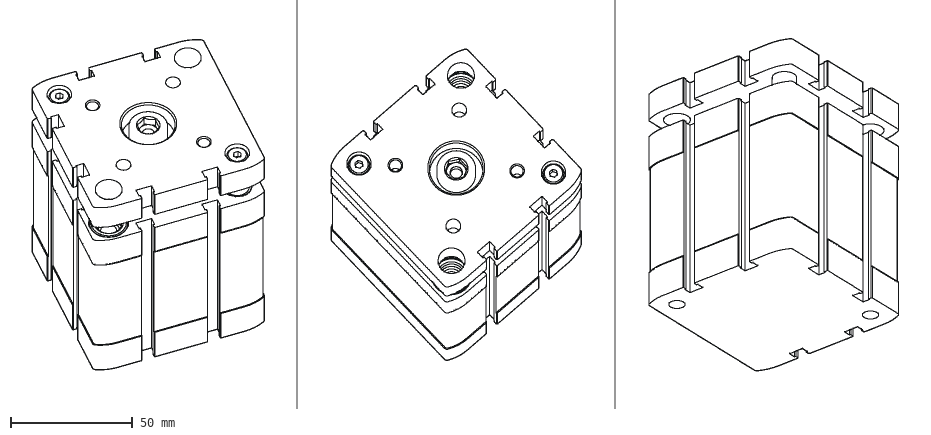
import cadquery as cq
import math

side = 75.5
half_side = side / 2
total_height = 99.0
plate_thickness = 12.0
plate_gap = 8.0
cap_height = 15.0
barrel_inset = 0.45
plate_bottom = total_height - plate_thickness
housing_height = plate_bottom - plate_gap
barrel_height = housing_height - 2 * cap_height

corner_radius = 20.0
corner_start = 28.0
corner_blend = 1.5

slot_offset = 14.5
slot_depth = 5.1
slot_width = 6.8
slot_mouth = 5.5
lip_thickness = 1.8
lip_chamfer = 0.3

corner_spacing = 56.5
corner_offset = corner_spacing / 2
guide_points = [(corner_offset, corner_offset), (-corner_offset, -corner_offset)]
mount_points = [(-corner_offset, corner_offset), (corner_offset, -corner_offset)]

plate_mount_diameter = 11.0
collar_recess_diameter = 16.4
collar_recess_depth = 3.0
collar_diameter = 15.5
collar_drop = 0.3
collar_chamfer = 0.5
head_recess_rim_diameter = 12.0
head_recess_diameter = 10.6
head_recess_depth = 4.0
mount_bore_chamfer_diameter = 8.5
mount_bore_diameter = 6.65

payload_circle_diameter = 50.0
payload_offset = payload_circle_diameter / 2 * math.cos(math.pi / 4)
payload_tap_points = [(payload_offset, payload_offset), (-payload_offset, -payload_offset)]
payload_pin_points = [(-payload_offset, payload_offset), (payload_offset, -payload_offset)]
payload_tap_diameter = 4.92
payload_pin_diameter = 6.0
center_recess_diameter = 22.0
center_recess_depth = 8.0
center_recess_chamfer = 0.7

rod_diameter = 16.0
top_recess = 1.0
rod_top = total_height - top_recess
rod_rounding = 0.8
rod_flats = 13.0
rod_flat_bottom = housing_height + 1.7
rod_flat_run_angle = 30.0
rod_insertion = 20.0
rod_hex = 8.0
rod_hex_depth = 4.0
rod_hex_chamfer_diameter = 9.7
rod_pilot_diameter = 5.0
rod_pilot_depth = 3.0
drill_tip_angle = 118.0

guide_diameter = 10.0
guide_recess_depth = 6.0
guide_screw_diameter = 8.5
guide_screw_top = total_height - top_recess
guide_screw_chamfer = 0.5
guide_hex = 3.0
guide_hex_depth = 3.0
guide_seat_diameter = 12.0
guide_seat_depth = 0.5


def cylinder(diameter, bottom, top, points=((0, 0),)):
    """Upright cylinders between two heights, one at each point."""
    base = cq.Workplane("XY").workplane(offset=bottom).pushPoints(points)
    return base.circle(diameter / 2).extrude(top - bottom)


def cone(large_diameter, small_diameter, bottom, height, points=((0, 0),)):
    """Upward-opening frustums, used as countersinks; one at each point."""
    solid = cq.Solid.makeCone(small_diameter / 2, large_diameter / 2, height)
    return cq.Workplane("XY").pushPoints(points).eachpoint(
        lambda place: solid.translate((0, 0, bottom)).moved(place), combine="a")


def block(inset, bottom, height):
    """Square prism with large-radius corners, drawn in by an inset on all sides."""
    half = half_side - inset
    radius = corner_radius - inset
    sweep = math.asin((half - corner_start) / radius)
    corner_x = half - radius * (1 - math.cos(sweep))
    mid_x = half - radius * (1 - math.cos(sweep / 2))
    mid_y = corner_start + radius * math.sin(sweep / 2)
    outline = (
        cq.Workplane("XY").workplane(offset=bottom)
        .moveTo(half, -corner_start)
        .lineTo(half, corner_start)
        .threePointArc((mid_x, mid_y), (corner_x, half))
        .lineTo(-corner_x, half)
        .threePointArc((-mid_x, mid_y), (-half, corner_start))
        .lineTo(-half, -corner_start)
        .threePointArc((-mid_x, -mid_y), (-corner_x, -half))
        .lineTo(corner_x, -half)
        .threePointArc((mid_x, -mid_y), (half, -corner_start))
        .close()
    )
    prism = outline.extrude(height)
    sharp_edges = prism.edges("|Z").edges(">Y or <Y")
    return sharp_edges.fillet(corner_blend)


def slots(bottom, top):
    """T-slots in the -Y, +X and -X sides, with chamfered mouths."""
    mouth = slot_mouth / 2
    profile = [
        (-mouth - lip_chamfer, -half_side),
        (-mouth, -half_side + lip_chamfer),
        (-mouth, -half_side + lip_thickness),
        (-slot_width / 2, -half_side + lip_thickness),
        (-slot_width / 2, -half_side + slot_depth),
    ]
    profile += [(-x, y) for x, y in reversed(profile)]
    slot = cq.Workplane("XY").workplane(offset=bottom).polyline(profile).close().extrude(top - bottom)
    pair = slot.translate((slot_offset, 0, 0)).union(slot.translate((-slot_offset, 0, 0)))
    tools = pair
    for turn in (90, -90):
        tools = tools.union(pair.rotate((0, 0, 0), (0, 0, 1), turn))
    return tools


def hex_socket(across_flats, bottom, top, points=((0, 0),), turn=0):
    """Hexagonal prisms, one at each point; flats face along Y when turn is 0, along X when it is 30."""
    corners = across_flats / math.cos(math.pi / 6)
    prism = cq.Workplane("XY").polygon(6, corners).extrude(top - bottom).rotate((0, 0, 0), (0, 0, 1), turn)
    base = cq.Workplane("XY").workplane(offset=bottom).pushPoints(points)
    return base.eachpoint(lambda place: prism.val().moved(place), combine="a")


def make_shafts():
    """Piston rod with wrench flats, and guide rods with screw heads, before their sockets are cut."""
    bottom = housing_height - rod_insertion
    rod = cylinder(rod_diameter, bottom, rod_top).faces(">Z").edges().fillet(rod_rounding)
    run_out = (rod_diameter - rod_flats) / 2 * math.tan(math.radians(rod_flat_run_angle))
    flat_cut = (
        cq.Workplane("YZ")
        .polyline([
            (rod_flats / 2, rod_flat_bottom),
            (rod_diameter / 2, rod_flat_bottom - run_out),
            (rod_diameter / 2, plate_bottom),
            (rod_flats / 2, plate_bottom),
        ])
        .close()
        .extrude(rod_diameter / 2, both=True)
    )
    rod = rod.cut(flat_cut).cut(flat_cut.mirror("XZ"))
    guides = cylinder(guide_diameter, bottom, total_height - guide_recess_depth, guide_points)
    screws = cylinder(guide_screw_diameter, plate_bottom, guide_screw_top, guide_points)
    guides = guides.union(screws.faces(">Z").chamfer(guide_screw_chamfer))
    return rod, guides


def make_moving_unit():
    """Plate joined with the piston rod and the two guide rods."""
    plate = block(0, plate_bottom, plate_thickness).cut(slots(plate_bottom, total_height))
    plate = plate.cut(cylinder(center_recess_diameter, total_height - center_recess_depth, total_height))
    plate = plate.cut(cone(center_recess_diameter + 2 * center_recess_chamfer, center_recess_diameter,
                           total_height - center_recess_chamfer, center_recess_chamfer))
    plate = plate.cut(cylinder(plate_mount_diameter, plate_bottom, total_height, mount_points))
    plate = plate.cut(cylinder(payload_pin_diameter, plate_bottom, total_height, payload_pin_points))
    plate = plate.cut(cylinder(payload_tap_diameter, plate_bottom, total_height, payload_tap_points))
    tap_chamfer = (payload_pin_diameter - payload_tap_diameter) / 2
    plate = plate.cut(cone(payload_pin_diameter, payload_tap_diameter, total_height - tap_chamfer,
                           tap_chamfer, payload_tap_points))
    plate = plate.cut(cylinder(guide_diameter, plate_bottom, total_height, guide_points))

    rod, guides = make_shafts()
    unit = plate.union(rod).union(guides)

    socket_floor = rod_top - rod_hex_depth
    slope = math.tan(math.radians(drill_tip_angle / 2))
    socket_tip = (rod_hex - rod_pilot_diameter) / 2 / slope
    pilot_bottom = socket_floor - socket_tip - rod_pilot_depth
    pilot_tip = rod_pilot_diameter / 2 / slope
    socket_chamfer = (rod_hex_chamfer_diameter - rod_hex) / 2
    unit = unit.cut(hex_socket(rod_hex, socket_floor, rod_top))
    unit = unit.cut(cone(rod_hex_chamfer_diameter, rod_hex, rod_top - socket_chamfer, socket_chamfer))
    unit = unit.cut(cone(rod_hex, rod_pilot_diameter, socket_floor - socket_tip, socket_tip))
    unit = unit.cut(cylinder(rod_pilot_diameter, pilot_bottom, socket_floor - socket_tip))
    unit = unit.cut(cone(rod_pilot_diameter, 0, pilot_bottom - pilot_tip, pilot_tip))

    return unit.cut(hex_socket(guide_hex, guide_screw_top - guide_hex_depth, guide_screw_top,
                               guide_points, turn=30))


def make_housing():
    """Barrel between two slightly larger end caps, with bores for the rods."""
    housing = block(0, 0, cap_height)
    housing = housing.union(block(barrel_inset, cap_height, barrel_height))
    housing = housing.union(block(0, cap_height + barrel_height, cap_height))
    housing = housing.cut(slots(0, housing_height))

    rod_end = housing_height - rod_insertion
    housing = housing.cut(cylinder(rod_diameter, rod_end, housing_height))
    housing = housing.cut(cylinder(guide_diameter, rod_end, housing_height, guide_points))
    housing = housing.cut(cylinder(guide_seat_diameter, housing_height - guide_seat_depth,
                                   housing_height, guide_points))

    collar_bottom = housing_height - collar_recess_depth
    housing = housing.cut(cylinder(collar_recess_diameter, collar_bottom, housing_height, mount_points))
    collar_top = housing_height - collar_drop
    collars = cylinder(collar_diameter, collar_bottom, collar_top, mount_points)
    housing = housing.union(collars.faces(">Z").chamfer(collar_chamfer))

    head_floor = collar_top - head_recess_depth
    rim = (head_recess_rim_diameter - head_recess_diameter) / 2
    chamfer = (mount_bore_chamfer_diameter - mount_bore_diameter) / 2
    housing = housing.cut(cone(head_recess_rim_diameter, head_recess_diameter, collar_top - rim,
                               rim, mount_points))
    housing = housing.cut(cylinder(head_recess_diameter, head_floor, housing_height, mount_points))
    housing = housing.cut(cone(mount_bore_chamfer_diameter, mount_bore_diameter, head_floor - chamfer,
                               chamfer, mount_points))
    return housing.cut(cylinder(mount_bore_diameter, 0, housing_height, mount_points))


housing = make_housing()
moving_unit = make_moving_unit()
result = cq.Compound.makeCompound([housing.solids().val(), moving_unit.solids().val()])